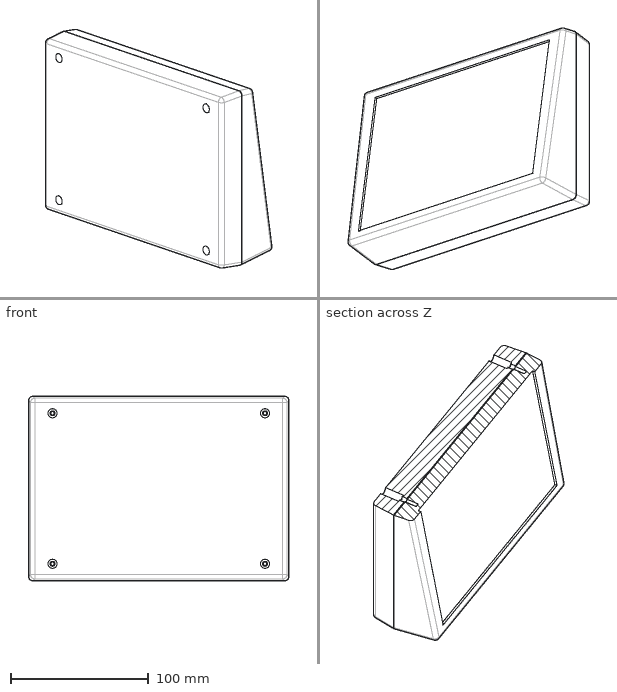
import cadquery as cq
import math

width = 189.1
height = 134.0
draft_angle = 5.0
edge_radius = 3.2
parting_gap = 0.4

front_depth = 19.1

slope_angle = 9.7
back_mid_depth = 24.5

recess_width = 162.2
recess_length = 114.8
recess_depth = 1.9
recess_offset = 1.5

screw_x = 77.2
screw_z = 54.6
head_diameter = 6.6
head_depth = 15.1
clearance_diameter = 3.5
pilot_diameter = 2.5
pilot_end_wall = 5.7

screw_points = [(x, z) for x in (-screw_x, screw_x) for z in (-screw_z, screw_z)]

front_plane = cq.Plane(origin=(0, 0, 0), xDir=(1, 0, 0), normal=(0, -1, 0))
back_plane = cq.Plane(origin=(0, parting_gap, 0), xDir=(-1, 0, 0), normal=(0, 1, 0))


def slope_plane(inset=0.0):
    """Plane parallel to the sloped face, inset into the back half, local Y up the slope."""
    angle = math.radians(slope_angle)
    normal = cq.Vector(0, math.cos(angle), math.sin(angle))
    origin = cq.Vector(0, back_mid_depth, 0) - normal * inset
    return cq.Plane(origin=origin, xDir=(-1, 0, 0), normal=normal)


def beyond_slope(inset=0.0):
    """Block filling all the space outside the plane given by slope_plane."""
    side = 2 * width
    return cq.Workplane(slope_plane(inset)).rect(side, side).extrude(side)


def drafted_block(plane, depth):
    """Outline of the case extruded from a parting face with drafted sides."""
    return cq.Workplane(plane).rect(width, height).extrude(depth, taper=draft_angle)


def round_outer_edges(block, parting_face):
    """Round every edge of the block except those around its parting face."""
    parting_edges = block.faces(parting_face).edges().vals()
    outer_edges = [edge for edge in block.edges().vals()
                   if not any(edge.isSame(rim) for rim in parting_edges)]
    return block.newObject(outer_edges).fillet(edge_radius)


def screw_holes(plane, diameter, depth):
    """Four round cutters starting at the given plane."""
    return cq.Workplane(plane).pushPoints(screw_points).circle(diameter / 2).extrude(depth)


def make_front_half():
    half = round_outer_edges(drafted_block(front_plane, front_depth), ">Y")
    half = half.cut(screw_holes(front_plane, clearance_diameter, front_depth))
    head_seat = cq.Plane(origin=(0, head_depth - front_depth, 0), xDir=(1, 0, 0), normal=(0, -1, 0))
    return half.cut(screw_holes(head_seat, head_diameter, head_depth))


def make_back_half():
    full_depth = back_mid_depth + height / 2 * math.tan(math.radians(slope_angle))
    half = drafted_block(back_plane, full_depth).cut(beyond_slope())
    half = round_outer_edges(half, "<Y")
    recess = (cq.Workplane(slope_plane(recess_depth)).center(0, recess_offset)
              .rect(recess_width, recess_length).extrude(2 * recess_depth))
    pilots = screw_holes(back_plane, pilot_diameter, full_depth).cut(beyond_slope(pilot_end_wall))
    return half.cut(recess).cut(pilots)


front_half = make_front_half()
back_half = make_back_half()

result = cq.Compound.makeCompound([front_half.val(), back_half.val()])